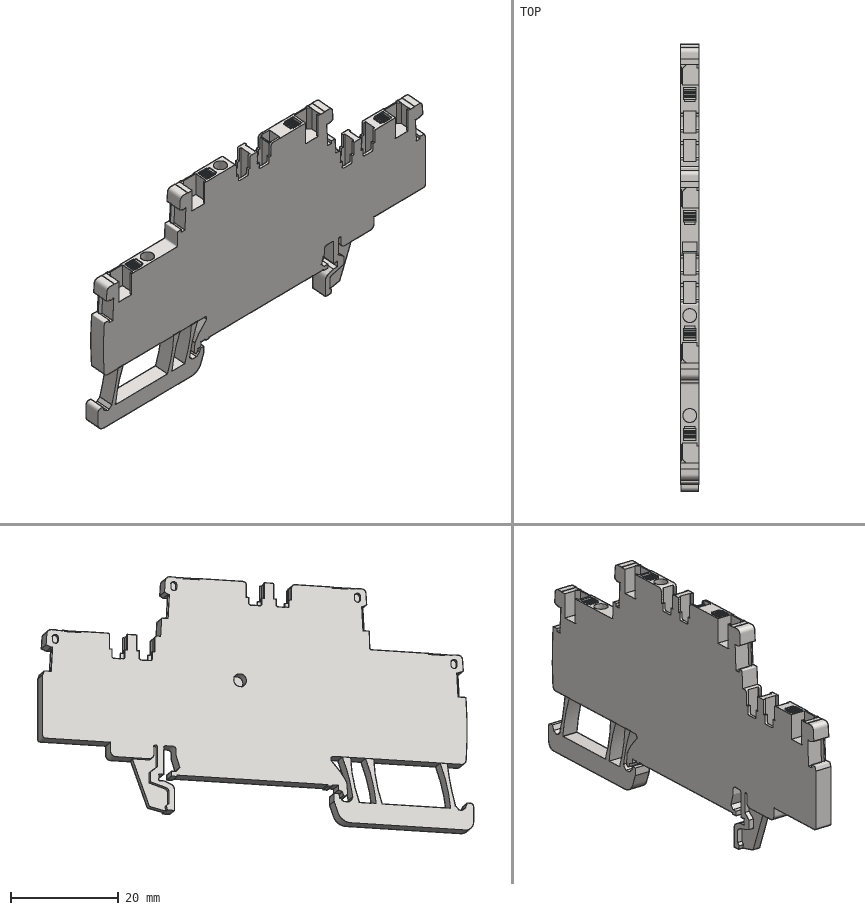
import cadquery as cq
import math


thickness = 3.5
length = 83.47
height = 44.95
y_max = length / 2
y_min = -length / 2

upper_top = height
lower_top = 33.4
underside = 12.5
rail_face = 7.0
skirt_bottom = 9.8
body_right = -40.2
bulge_radius = 82.0

head_radius = 0.9
head_height = 3.0
head_flare = 0.2
head_slope = 0.4
recess_height = 8.0
recess_taper = 0.25
rail_width = 0.5
rail_skin = 0.2
rail_setback = 0.25
latch_depth = 0.9
latch_sink = 0.6
crown_length = 1.9
crown_step = 0.08
heads = {
    "lower left": (40.87, lower_top, 1, 0.8, 41.44),
    "upper left": (17.95, upper_top, 1, 0.5, 18.7),
    "upper right": (-20.8, upper_top, -1, 0.5, -21.5),
    "lower right": (-39.5, lower_top, -1, 0.8, body_right),
}
eyelet_width = 1.15
eyelet_height = 1.7
eyelet_inset = 1.6
eyelet_drop = 1.75
eyelet_depth = 0.8

notch_width = 3.45
notch_floor_width = 2.5
notch_step = 3.0
notch_radius = 0.35
notch_corner = 0.7
post_corner = 0.3
notch_pitch = 5.3
upper_notch_depth = 4.45
lower_notch_depth = 4.75
upper_notch_y = 0.57
lower_notch_y = 27.07
shaft_length = 4.1
shaft_width = 2.4
shaft_offset = 0.08
shaft_depth = 14.0

skin = 0.4
pocket_length = 3.8
pocket_gap = 3.0
pocket_depth = 5.0
pocket_chamfer = 0.7
window_length = 3.2
sill_length = 3.1
sill_start = 0.4
sill_drop = 0.2
sill_width = 0.2

lever_length = 2.2
lever_gap = 0.45
lever_depth = 0.6
rib_count = 4
rib_pitch = 0.42
rib_thickness = 0.2
rib_drop = 0.15
lip_length = 0.45
lip_width = 1.9
lip_depth = 0.15

wire_hole_diameter = 2.6
wire_hole_depth = 8.0
wire_holes = ((-8.95, upper_top), (-27.6, lower_top))
pin_hole_diameter = 2.45
pin_hole_depth = 2.5
pin_hole_y = 3.53
pin_hole_z = 25.95
cell_start = 3.0
cell_end = 4.8
cell_depth = 4.0
cell_wall_drop = 0.75

web_inset = 1.0

foot_inset = 0.1
foot_faces = (foot_inset, thickness - foot_inset)


def rounded_outline(points):
    """Closed YZ outline; a third value in a point is the radius that rounds that corner."""
    corners = []
    count = len(points)
    for i, point in enumerate(points):
        y, z = point[0], point[1]
        radius = point[2] if len(point) > 2 else 0
        if not radius:
            corners.append(((y, z),))
            continue
        before = cq.Vector(*points[i - 1][:2])
        after = cq.Vector(*points[(i + 1) % count][:2])
        corner = cq.Vector(y, z)
        to_before = (before - corner).normalized()
        to_after = (after - corner).normalized()
        half_angle = to_before.getAngle(to_after) / 2
        reach = radius / math.tan(half_angle)
        bisector = (to_before + to_after).normalized()
        middle = corner + bisector * (radius / math.sin(half_angle) - radius)
        start = corner + to_before * reach
        end = corner + to_after * reach
        corners.append((start.toTuple()[:2], middle.toTuple()[:2], end.toTuple()[:2]))
    path = cq.Workplane("YZ").moveTo(*corners[0][-1])
    for corner in corners[1:] + corners[:1]:
        path = path.lineTo(*corner[0])
        if len(corner) == 3:
            path = path.threePointArc(corner[1], corner[2])
    return path.close()


def plate(points, x_start=0.0, x_end=thickness):
    """Flat piece with the given YZ outline between two X positions."""
    return rounded_outline(points).extrude(x_end - x_start).translate((x_start, 0, 0))


def block(x_range, y_range, z_range):
    """Box given by its X, Y and Z limits, each in either order."""
    limits = [sorted(pair) for pair in (x_range, y_range, z_range)]
    sizes = [high - low for low, high in limits]
    return cq.Workplane("XY").box(*sizes, centered=False).translate([low for low, high in limits])


def head_points(name):
    """Outline of one end head from the ledge below it up to its rounded top corner."""
    outer, top, side, depth, ledge = heads[name]
    floor = outer - side * depth
    return [
        (ledge, top - recess_height, 0.2),
        (floor + side * recess_taper, top - recess_height),
        (floor, top - head_height - head_slope),
        (outer + side * head_flare, top - head_height),
        (outer, top, head_radius),
    ]


def notch_points(center, top, depth, left_radius=0, right_radius=0):
    """Outline of one stepped notch from its +Y edge to its -Y edge, with rounded top corners."""
    half = notch_width / 2
    half_floor = notch_floor_width / 2
    return [
        (center + half, top, left_radius),
        (center + half, top - notch_step),
        (center + half_floor, top - notch_step),
        (center + half_floor, top - depth, notch_radius),
        (center - half_floor, top - depth, notch_radius),
        (center - half_floor, top - notch_step),
        (center - half, top - notch_step),
        (center - half, top, right_radius),
    ]


def make_body():
    """Main plate: two stepped tiers on top, rail seat and skirt below."""
    points = [(28.6, underside), (y_max, underside, 0.5), (y_max, 24.6)]
    points += head_points("lower left")
    points += notch_points(lower_notch_y, lower_top, lower_notch_depth, post_corner)
    points += notch_points(lower_notch_y - notch_pitch, lower_top, lower_notch_depth)[:-1]
    tier_step = lower_notch_y - notch_pitch - notch_width / 2
    points += [(tier_step, lower_top, 0.5), (18.9, lower_top)]
    points += head_points("upper left")
    points += notch_points(upper_notch_y, upper_top, upper_notch_depth, notch_corner)
    points += notch_points(
        upper_notch_y - notch_pitch, upper_top, upper_notch_depth, post_corner, notch_corner
    )
    points += reversed(head_points("upper right"))
    points += [(-21.6, lower_top, 0.3)]
    points += reversed(head_points("lower right"))
    points += [(-40.62, 19.25, bulge_radius), (body_right, underside, 0.9), (-14.1, underside, 0.5)]
    points += [
        (-14.1, 11.7),
        (-16.0, 9.5),
        (-17.1, 7.7),
        (-17.3, 5.4),
        (-16.85, 4.9),
        (-16.5, 5.1),
        (-16.3, 5.8),
        (-15.5, 6.1),
        (-15.5, rail_face),
    ]
    pad = rail_face - 0.25
    points += [
        (-14.4, rail_face),
        (-14.3, pad),
        (-13.5, pad),
        (-13.4, rail_face),
        (15.7, rail_face),
        (15.7, pad),
        (16.8, pad),
        (16.8, 7.7),
        (15.9, 7.7),
        (15.2, 8.5),
        (15.9, 10.7),
    ]
    points += [
        (15.9, underside, 0.7),
        (18.3, underside, 0.4),
        (18.3, skirt_bottom),
        (19.55, skirt_bottom),
        (19.55, underside, 0.3),
        (20.2, underside, 0.3),
        (20.2, skirt_bottom, 0.9),
        (28.6, skirt_bottom, 1.0),
    ]
    return plate(points)


def make_clip():
    """Sprung clip: a full-width strip hanging from the body with a thinner web behind it."""
    inner_edge = [
        (19.55, 8.4),
        (20.9, 7.3),
        (20.9, 5.4),
        (17.3, 4.3, 0.8),
        (17.3, 1.5),
        (17.8, 1.0),
        (17.6, 0.2),
    ]
    strip = plate(
        [(18.3, 12.0), (19.55, 12.0)]
        + inner_edge
        + [(16.2, 0.2), (16.2, 4.9, 1.2), (18.2, 5.75), (19.25, 5.75), (19.25, 7.0), (18.3, 7.0)]
    )
    web = plate(
        [(19.55, underside)]
        + inner_edge
        + [(20.8, 0.9, 0.4), (24.1, skirt_bottom), (24.1, 10.5), (20.2, 10.5), (20.2, underside)],
        web_inset,
        thickness - web_inset,
    )
    return strip.union(web)


def make_leg(start_y, start_width, end_y, end_width, bow):
    """Slanted, slightly bowed leg from the body underside down to the foot bar."""
    root_z = underside + 0.1
    tip_z = 3.5
    middle_y = (start_y + end_y) / 2 - bow
    middle_z = (root_z + tip_z) / 2
    middle_width = 0.75
    return (
        cq.Workplane("YZ")
        .moveTo(start_y, root_z)
        .threePointArc((middle_y, middle_z), (end_y, tip_z))
        .lineTo(end_y - end_width, tip_z)
        .threePointArc((middle_y - middle_width, middle_z), (start_y - start_width, root_z))
        .close()
        .extrude(thickness - 2 * foot_inset)
        .translate((foot_inset, 0, 0))
    )


def make_foot():
    """Foot bar with an upturned hook at each end, hung from three legs."""
    bar_top = 4.0
    bar = plate(
        [
            (-14.7, 5.45),
            (-14.7, 3.9),
            (-16.1, 0.0, 2.6),
            (y_min, 0.0, 1.6),
            (y_min, 5.2, 0.7),
            (-40.5, 5.2),
            (-40.1, 4.2),
            (-39.3, 3.7),
            (-38.9, 3.8),
            (-38.1, 4.6),
            (-37.2, bar_top),
            (-19.6, bar_top),
            (-18.4, 5.2),
            (-18.1, 4.4, 0.3),
            (-17.6, 4.0),
            (-16.6, 4.0),
            (-15.8, 4.7),
            (-15.6, 5.45),
        ],
        *foot_faces,
    )
    legs = (
        make_leg(-16.25, 1.65, -18.5, 1.3, 0.35)
        .union(make_leg(-20.75, 1.65, -22.9, 1.3, 0.35))
        .union(make_leg(-35.2, 1.4, -37.3, 1.2, 0.35))
    )
    return bar.union(legs)


def cut_head(part, name):
    """Deepen the latch recess, step the rail and the crown, and sink the eyelet."""
    outer, top, side, depth, _ = heads[name]
    z_low = top - recess_height
    z_high = top - head_height - head_slope
    floor = outer - side * depth
    lower_edge = floor + side * recess_taper
    rail_step = plate(
        [
            (floor + side, z_high),
            (floor - side * rail_setback, z_high),
            (lower_edge - side * rail_setback, z_low),
            (lower_edge + side, z_low),
        ],
        0,
        rail_skin,
    )
    latch = plate(
        [
            (floor + side, z_high),
            (floor - side * latch_depth, z_high),
            (lower_edge - side * latch_depth, z_low - latch_sink),
            (lower_edge, z_low - latch_sink),
            (lower_edge, z_low),
            (lower_edge + side, z_low),
        ],
        rail_width,
        thickness,
    )
    crown_range = (outer - side * crown_length, outer - side * pocket_gap)
    crown = block((0, thickness), crown_range, (top - crown_step, top))
    eyelet = (
        cq.Workplane("YZ")
        .center(outer - side * eyelet_inset, top - eyelet_drop)
        .slot2D(eyelet_height, eyelet_width, 90)
        .extrude(eyelet_depth)
    )
    return part.cut(rail_step).cut(latch).cut(crown).cut(eyelet)


def cut_marker_pocket(part, name):
    """Marker pocket behind a head, open through the +X wall at its -Y end."""
    outer, top, side, _, _ = heads[name]
    near = outer - side * pocket_gap
    far = near - side * pocket_length
    depth_range = (top - pocket_depth, top)
    pocket = (
        cq.Workplane("XY")
        .polyline(
            [
                (skin, far),
                (thickness - skin, far),
                (thickness - skin, near),
                (skin + pocket_chamfer, near),
                (skin, near - side * pocket_chamfer),
            ]
        )
        .close()
        .extrude(pocket_depth)
        .translate((0, 0, top - pocket_depth))
    )
    window_start = min(near, far)
    window = block(
        (thickness / 2, thickness), (window_start, window_start + window_length), depth_range
    )
    sill_near = near - side * sill_start
    sill = block((0, sill_width), (sill_near, sill_near - side * sill_length), (top - sill_drop, top))
    return part.cut(pocket).cut(window).cut(sill)


def cut_lever(part, name):
    """Sunken release lever beside a marker pocket, crossed by grip ribs."""
    outer, top, side, _, _ = heads[name]
    start = outer - side * (pocket_gap + pocket_length + lever_gap)
    x_range = ((thickness - shaft_width) / 2, (thickness + shaft_width) / 2)
    recess = block(x_range, (start, start - side * lever_length), (top - lever_depth, top))
    for i in range(rib_count):
        rib_start = start - side * (i + 1) * rib_pitch
        rib_end = rib_start - side * rib_thickness
        recess = recess.cut(block(x_range, (rib_start, rib_end), (top - lever_depth, top - rib_drop)))
    lip_range = ((thickness - lip_width) / 2, (thickness + lip_width) / 2)
    lip_start = start - side * lever_length
    lip = block(lip_range, (lip_start, lip_start - side * lip_length), (top - lip_depth, top))
    return part.cut(recess).cut(lip)


def cut_notch_shafts(part):
    """Deep rectangular shaft in the middle of every bridge notch."""
    for first_y, top in ((lower_notch_y, lower_top), (upper_notch_y, upper_top)):
        for i in range(2):
            center = first_y + shaft_offset - i * notch_pitch
            shaft = cq.Workplane("XY").box(shaft_width, shaft_length, shaft_depth)
            part = part.cut(shaft.translate((thickness / 2, center, top - shaft_depth / 2)))
    return part


def cut_holes(part):
    """Wire entry holes from above and the blind pin hole in the -X face."""
    for y, top in wire_holes:
        hole = cq.Workplane("XY").circle(wire_hole_diameter / 2).extrude(wire_hole_depth)
        part = part.cut(hole.translate((thickness / 2, y, top - wire_hole_depth)))
    pin_hole = (
        cq.Workplane("YZ")
        .center(pin_hole_y, pin_hole_z)
        .circle(pin_hole_diameter / 2)
        .extrude(pin_hole_depth)
    )
    return part.cut(pin_hole)


def cut_cell(part):
    """Open cell in the upper tier, parted from the first notch shaft by a low wall."""
    x_range = (skin, thickness - skin)
    shaft_edge = upper_notch_y + shaft_offset + shaft_length / 2
    cell = block(x_range, (cell_start, cell_end), (upper_top - cell_depth, upper_top))
    wall_gap = block(x_range, (shaft_edge, cell_start), (upper_top - cell_wall_drop, upper_top))
    return part.cut(cell).cut(wall_gap)


part = make_body().union(make_clip()).union(make_foot())
for head_name in heads:
    part = cut_head(part, head_name)
    part = cut_marker_pocket(part, head_name)
    part = cut_lever(part, head_name)
part = cut_notch_shafts(part)
part = cut_holes(part)
result = cut_cell(part)